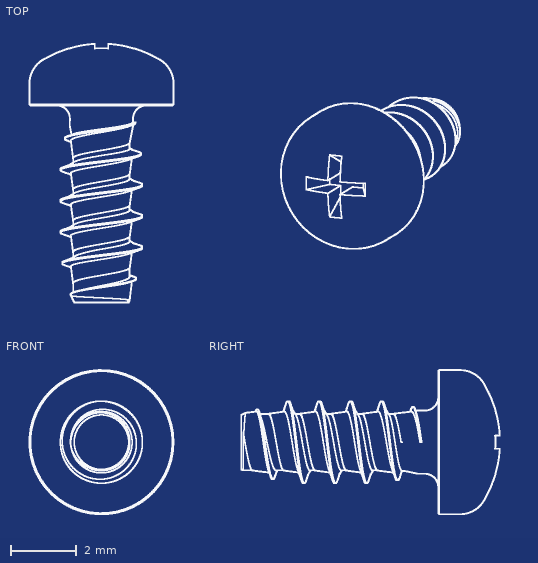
import cadquery as cq
import math


HEAD_RADIUS = 2.2
HEAD_APEX = 1.892
RIM_CHAMFER = 0.04
RIM_TOP = 0.665
SHOULDER_RADIUS = 1.7
SHOULDER_HEIGHT = 1.44

SLOT_WIDTH = 0.4
SLOT_SPAN = 2.1
RECESS_DEPTH = 1.0
WING_TAPER = 26.5

SHANK_LENGTH = 6.0
NECK_RADIUS = 0.966
NECK_FILLET = 0.4
NECK_LENGTH = 0.63
NECK_TAPER_END = 1.15
CORE_RADIUS = 0.86
TIP_RADIUS = 0.83
TIP_BEVEL_RADIUS = 0.95
TIP_BEVEL_LENGTH = 0.25
TIP_DISH = 0.05

PITCH = 0.951
CREST_RADIUS = 1.25
THREAD_START = 0.523
RUN_IN_END = 1.72
RUN_OUT_START = 4.6
RUN_OUT_END = 5.75
START_HEIGHT = 0.33
END_HEIGHT = 0.03
BUTTRESS_RADIUS = 0.935
BUTTRESS_END = 0.605
CREST_HALF_WIDTH = 0.02
HEAD_FLANK_ROOT = 0.255
HEAD_FLANK_KINK = 0.085
KINK_HEIGHT = 0.46
TIP_FLANK_ROOT = 0.12
BUTTRESS_STEP = 0.008
BURIED_RADIUS = 0.75
POINTS_PER_TURN = 24
POINTS_PER_SPAN = 12


def make_body():
    """Head, neck and core as one revolved outline."""
    corner = HEAD_RADIUS - SHOULDER_RADIUS
    rise = SHOULDER_HEIGHT - RIM_TOP
    arc_radius = (corner**2 + rise**2) / (2 * corner)
    half_angle = math.asin(rise / arc_radius) / 2
    arc_middle = (
        HEAD_RADIUS - arc_radius * (1 - math.cos(half_angle)),
        RIM_TOP + arc_radius * math.sin(half_angle),
    )
    sag = HEAD_APEX - SHOULDER_HEIGHT
    dome_radius = (SHOULDER_RADIUS**2 + sag**2) / (2 * sag)
    dome_x = SHOULDER_RADIUS / 2
    dome_middle = (dome_x, HEAD_APEX - dome_radius + math.sqrt(dome_radius**2 - dome_x**2))
    fillet_reach = NECK_FILLET * (1 - math.sqrt(0.5))
    outline = (
        cq.Workplane("XY")
        .moveTo(0, HEAD_APEX)
        .threePointArc(dome_middle, (SHOULDER_RADIUS, SHOULDER_HEIGHT))
        .threePointArc(arc_middle, (HEAD_RADIUS, RIM_TOP))
        .lineTo(HEAD_RADIUS, RIM_CHAMFER)
        .lineTo(HEAD_RADIUS - RIM_CHAMFER, 0)
        .lineTo(NECK_RADIUS + NECK_FILLET, 0)
        .threePointArc((NECK_RADIUS + fillet_reach, -fillet_reach), (NECK_RADIUS, -NECK_FILLET))
        .lineTo(NECK_RADIUS, -NECK_LENGTH)
        .lineTo(CORE_RADIUS, -NECK_TAPER_END)
        .lineTo(CORE_RADIUS, -SHANK_LENGTH)
        .lineTo(0, -SHANK_LENGTH)
        .close()
    )
    return outline.revolve(360, (0, 0, 0), (0, 1, 0))


def make_recess():
    """Two crossed slots whose ends slope inward with depth."""
    floor = HEAD_APEX - RECESS_DEPTH
    half_top = SLOT_SPAN / 2
    half_floor = half_top - RECESS_DEPTH * math.tan(math.radians(WING_TAPER))
    slot = (
        cq.Workplane("XY")
        .polyline([
            (-half_floor, floor),
            (half_floor, floor),
            (half_top, HEAD_APEX),
            (-half_top, HEAD_APEX),
        ])
        .close()
        .extrude(SLOT_WIDTH / 2, both=True)
    )
    return slot.union(slot.rotate((0, 0, 0), (0, 1, 0), 90))


def ridge_share(distance):
    """Share of the full ridge height where the crest is this far from the head."""
    if distance < RUN_IN_END:
        progress = (distance - THREAD_START) / (RUN_IN_END - THREAD_START)
        return START_HEIGHT + (1 - START_HEIGHT) * progress
    if distance > RUN_OUT_START:
        progress = (distance - RUN_OUT_START) / (RUN_OUT_END - RUN_OUT_START)
        return max(END_HEIGHT, 1 - progress)
    return 1.0


def thread_section(share):
    """Corners (axial offset from the crest, radius) of the thread for a given ridge height."""
    height = (CREST_RADIUS - BUTTRESS_RADIUS) * share
    crest = BUTTRESS_RADIUS + height
    half_width = CREST_HALF_WIDTH * share
    return [
        (HEAD_FLANK_ROOT * share, BURIED_RADIUS),
        (HEAD_FLANK_KINK * share, CORE_RADIUS + (crest - CORE_RADIUS) * KINK_HEIGHT),
        (half_width, crest),
        (-half_width, crest),
        (-TIP_FLANK_ROOT * share, BUTTRESS_RADIUS),
        (-BUTTRESS_END, CORE_RADIUS + BUTTRESS_STEP),
        (-BUTTRESS_END, BURIED_RADIUS),
    ]


def make_thread():
    """Helical ridge with its tapered core, skinned between the paths of the section corners."""
    turns = (SHANK_LENGTH + HEAD_FLANK_ROOT - THREAD_START) / PITCH
    count = math.ceil(turns * POINTS_PER_TURN)
    sections = []
    for step in range(count + 1):
        turn = turns * step / count
        angle = 2 * math.pi * turn
        distance = THREAD_START + PITCH * turn
        sections.append([
            cq.Vector(radius * math.cos(angle), offset - distance, radius * math.sin(angle))
            for offset, radius in thread_section(ridge_share(distance))
        ])
    faces = []
    for start in range(0, count, POINTS_PER_SPAN):
        span = sections[start:start + POINTS_PER_SPAN + 1]
        paths = [cq.Edge.makeSpline(list(points)) for points in zip(*span)]
        for index in range(len(paths)):
            faces.append(cq.Face.makeRuledSurface(paths[index - 1], paths[index]))
    for end in (sections[0], sections[-1]):
        faces.append(cq.Face.makeFromWires(cq.Wire.makePolygon(end, close=True)))
    return cq.Workplane(cq.Solid.makeSolid(cq.Shell.makeShell(faces)))


def make_tip_cutter():
    """Ring and dish that end the shank: conical bevel outside, shallow dish inside."""
    bevel_top = TIP_BEVEL_LENGTH - SHANK_LENGTH
    below_tip = -SHANK_LENGTH - 2 * PITCH
    outline = cq.Workplane("XY").polyline([
        (0, TIP_DISH - SHANK_LENGTH),
        (TIP_RADIUS, -SHANK_LENGTH),
        (TIP_BEVEL_RADIUS, bevel_top),
        (HEAD_RADIUS, bevel_top),
        (HEAD_RADIUS, below_tip),
        (0, below_tip),
    ])
    return outline.close().revolve(360, (0, 0, 0), (0, 1, 0))


body = make_body().cut(make_recess())
result = body.union(make_thread()).cut(make_tip_cutter())